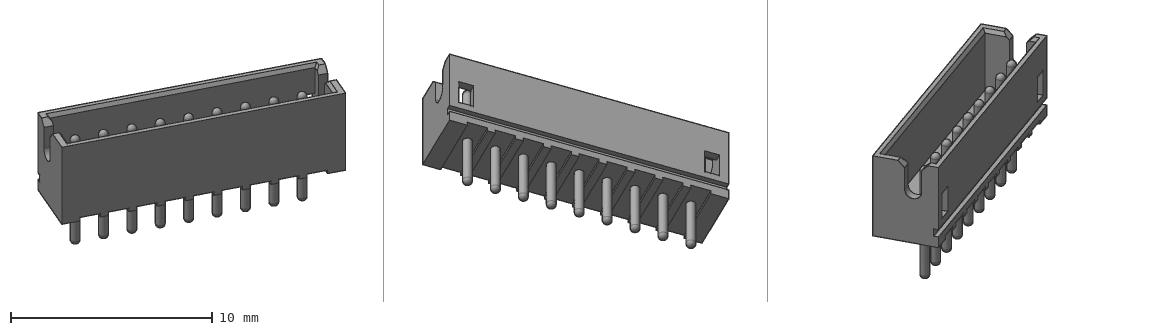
import cadquery as cq


width = 3.5
length = 15.0
height = 4.5

side_wall = 0.4
end_wall = 0.5
floor_z = 1.4
lead_in = 0.15
lead_in_depth = 0.2

step_start_x = 1.8
step_run = 0.2
step_drop = 0.3

slot_left_x = 0.9
slot_right_x = 1.8
slot_bottom_z = 2.5
slot_chamfer = 0.35

groove_depth = 0.25
groove_bottom_z = 0.6
groove_top_z = 1.0

window_length = 0.8
window_height = 1.4

pin_count = 9
pitch = 1.5
pin_diameter = 0.5
pin_x = 1.3
pin_top_z = 3.6
pin_bottom_z = -2.7

relief_length = 1.08
relief_height = 0.2

cavity_left_x = side_wall
cavity_right_x = width - side_wall
cavity_length = length - 2 * end_wall
pin_positions = [(i - (pin_count - 1) / 2) * pitch for i in range(pin_count)]


def block(x_min, x_max, y_center, y_length, z_min, z_max):
    """Box between the given X and Z limits, centred on y_center."""
    box = cq.Workplane("XY").box(x_max - x_min, y_length, z_max - z_min, centered=(False, True, False))
    return box.translate((x_min, y_center, z_min))


def extrude_along_y(profile, y_length):
    """Extrude an XZ profile symmetrically about Y = 0."""
    return profile.extrude(y_length / 2, both=True)


def make_cavity():
    """Pocket with a two-level floor and a tapered lead-in at its mouth."""
    step_end_x = step_start_x + step_run
    profile = (
        cq.Workplane("XZ")
        .moveTo(cavity_left_x, height)
        .lineTo(cavity_left_x, floor_z)
        .lineTo(step_start_x, floor_z)
        .lineTo(step_end_x, floor_z - step_drop)
        .lineTo(cavity_right_x, floor_z - step_drop)
        .lineTo(cavity_right_x, height)
        .close()
    )
    inner_width = cavity_right_x - cavity_left_x
    mouth = (
        cq.Workplane("XY", origin=(width / 2, 0, height - lead_in_depth))
        .rect(inner_width, cavity_length)
        .workplane(offset=lead_in_depth)
        .rect(inner_width + 2 * lead_in, cavity_length + 2 * lead_in)
        .loft(ruled=True)
    )
    return extrude_along_y(profile, cavity_length).union(mouth)


def make_end_slots():
    """Round-bottomed slot with a chamfered mouth, through both end walls."""
    radius = (slot_right_x - slot_left_x) / 2
    center_x = (slot_left_x + slot_right_x) / 2
    arc_z = slot_bottom_z + radius
    chamfer_z = height - slot_chamfer
    profile = (
        cq.Workplane("XZ")
        .moveTo(slot_left_x - slot_chamfer, height)
        .lineTo(slot_left_x, chamfer_z)
        .lineTo(slot_left_x, arc_z)
        .threePointArc((center_x, slot_bottom_z), (slot_right_x, arc_z))
        .lineTo(slot_right_x, chamfer_z)
        .lineTo(slot_right_x + slot_chamfer, height)
        .close()
    )
    return extrude_along_y(profile, length)


def make_window(side):
    """Opening through the left wall, flush with the cavity floor and end wall."""
    y_center = side * (cavity_length - window_length) / 2
    return block(0, side_wall, y_center, window_length, floor_z, floor_z + window_height)


def make_pin(y):
    """Round pin with hemispherical ends."""
    pin = cq.Workplane("XY", origin=(pin_x, y, 0)).workplane(offset=pin_bottom_z + pin_diameter / 2)
    pin = pin.circle(pin_diameter / 2).extrude(pin_top_z - pin_bottom_z - pin_diameter)
    for z in (pin_bottom_z, pin_top_z - pin_diameter):
        ball_center = (pin_x, y, z + pin_diameter / 2)
        pin = pin.union(cq.Workplane("XY").sphere(pin_diameter / 2).translate(ball_center))
    return pin


def make_housing():
    housing = block(0, width, 0, length, 0, height)
    housing = housing.cut(make_cavity())
    housing = housing.cut(make_end_slots())
    housing = housing.cut(block(0, groove_depth, 0, length, groove_bottom_z, groove_top_z))
    for side in (-1, 1):
        housing = housing.cut(make_window(side))
    for y in pin_positions:
        housing = housing.cut(block(0, width, y, relief_length, 0, relief_height))
    return housing


result = make_housing()
for y in pin_positions:
    result = result.union(make_pin(y))